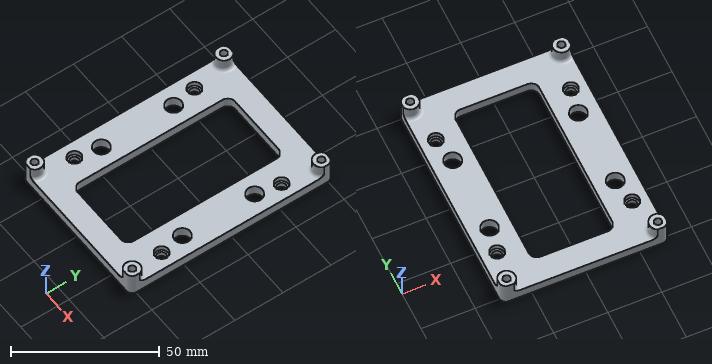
import cadquery as cq

width = 62.0
length = 84.5
plate_thickness = 4.3
corner_radius = 2.5

window_width = 30.85
window_length = 65.4
window_radius = 2.95

total_height = 9.55
standoff_diameter = 6.4
standoff_hole_diameter = 2.8
standoff_spacing_x = 55.9
standoff_spacing_y = 78.75
root_fillet = 1.5

plain_hole_diameter = 6.3
plain_spacing_x = 46.5
plain_spacing_y = 30.1
screw_hole_diameter = 3.7
counterbore_diameter = 5.4
counterbore_depth = 2.1
screw_spacing = 49.9


def rectangle_corners(spacing_x, spacing_y):
    """Four points centred on the plate."""
    return [(x * spacing_x / 2, y * spacing_y / 2) for x in (-1, 1) for y in (-1, 1)]


def make_plate():
    plate = cq.Workplane("XY").box(width, length, plate_thickness, centered=(True, True, False))
    return plate.edges("|Z").fillet(corner_radius)


def make_standoff():
    """Full-height post, and the concave skirt that joins it to the plate top."""
    radius = standoff_diameter / 2
    foot_radius = radius + root_fillet
    fillet_top = plate_thickness + root_fillet
    post = cq.Workplane("XY").circle(radius).extrude(total_height)
    arc_offset = root_fillet * (1 - 0.5**0.5)
    skirt = (
        cq.Workplane("XZ")
        .moveTo(0, plate_thickness)
        .lineTo(foot_radius, plate_thickness)
        .threePointArc((radius + arc_offset, plate_thickness + arc_offset), (radius, fillet_top))
        .lineTo(0, fillet_top)
        .close()
        .revolve(360, (0, 0, 0), (0, 1, 0))
    )
    return post, skirt


def add_standoffs(plate):
    post, skirt = make_standoff()
    sides = cq.Workplane("XY").box(width, length, total_height, centered=(True, True, False))
    rounded_sides = sides.edges("|Z").fillet(corner_radius)
    body = plate
    for x, y in rectangle_corners(standoff_spacing_x, standoff_spacing_y):
        place = cq.Vector(x, y, 0)
        body = body.union(post.translate(place).intersect(rounded_sides))
        body = body.union(skirt.translate(place).intersect(rounded_sides))
    return body


def cut_window(body):
    window = cq.Workplane("XY").rect(window_width, window_length).extrude(plate_thickness)
    return body.cut(window.edges("|Z").fillet(window_radius))


def cut_holes(body, centres, diameter, bottom=0.0):
    """Round holes running upwards from the bottom height through the part."""
    tools = cq.Workplane("XY", origin=(0, 0, bottom)).pushPoints(centres)
    return body.cut(tools.circle(diameter / 2).extrude(total_height - bottom))


standoff_centres = rectangle_corners(standoff_spacing_x, standoff_spacing_y)
plain_centres = rectangle_corners(plain_spacing_x, plain_spacing_y)
screw_centres = rectangle_corners(screw_spacing, screw_spacing)

result = cut_window(add_standoffs(make_plate()))
result = cut_holes(result, standoff_centres, standoff_hole_diameter)
result = cut_holes(result, plain_centres, plain_hole_diameter)
result = cut_holes(result, screw_centres, screw_hole_diameter)
result = cut_holes(result, screw_centres, counterbore_diameter, plate_thickness - counterbore_depth)